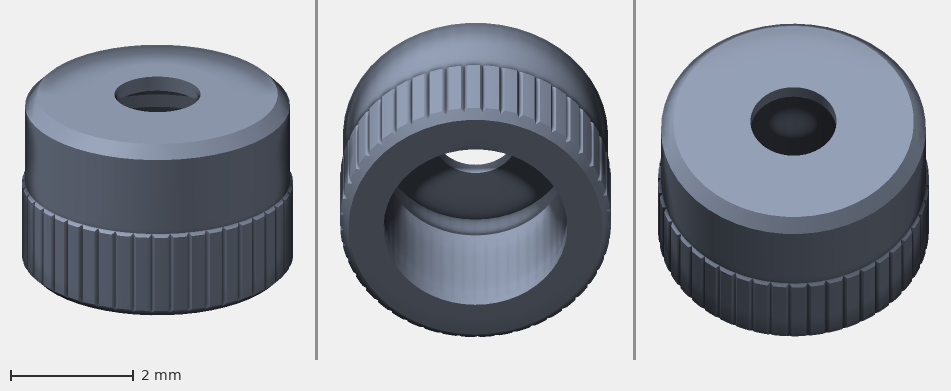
import cadquery as cq
import math

height = 3.02
body_radius = 2.16
body_chamfer = 0.2

grip_radius = 2.21
grip_height = 1.5
grip_bottom_chamfer = 0.14
groove_count = 45
groove_depth = grip_radius - body_radius
groove_angle = 90.0

hole_radius = 0.703
top_wall = 0.25
bore_top_depth = 0.9
bore_radius = 1.5
chamber_undercut = 0.1
chamber_radius = bore_radius + chamber_undercut
cone_slope = 60.0


def revolve_about_z(profile):
    """Full turn about Z of a closed outline given as (radius, height) points."""
    return cq.Workplane("XZ").polyline(profile).close().revolve(360, (0, 0, 0), (0, 1, 0))


def make_outside():
    """Revolved outer shape with the grip chamfered down to the body above it."""
    profile = [
        (0, 0),
        (grip_radius - grip_bottom_chamfer, 0),
        (grip_radius, grip_bottom_chamfer),
        (grip_radius, grip_height - groove_depth),
        (body_radius, grip_height),
        (body_radius, height - body_chamfer),
        (body_radius - body_chamfer, height),
        (0, height),
    ]
    return revolve_about_z(profile)


def make_grooves():
    """Ring of straight V grooves whose roots lie on the body radius, the first on +Y."""
    clearance = 0.045
    outer_y = grip_radius + clearance
    half_width = (groove_depth + clearance) * math.tan(math.radians(groove_angle / 2))
    groove = (
        cq.Workplane("XY")
        .polyline([(0, body_radius), (half_width, outer_y), (-half_width, outer_y)])
        .close()
        .extrude(grip_height)
    )
    pitch = 360 / groove_count
    grooves = cq.Workplane("XY")
    for index in range(groove_count):
        grooves.add(groove.rotate((0, 0, 0), (0, 0, 1), index * pitch))
    return grooves.combine()


def make_interior():
    """Through cavity: bore, cone widening into the chamber, then the top hole."""
    cone_bottom = height - bore_top_depth
    cone_rise = chamber_undercut * math.tan(math.radians(cone_slope))
    cone_top = cone_bottom + cone_rise
    chamber_top = height - top_wall
    profile = [
        (0, 0),
        (bore_radius, 0),
        (bore_radius, cone_bottom),
        (chamber_radius, cone_top),
        (chamber_radius, chamber_top),
        (hole_radius, chamber_top),
        (hole_radius, height),
        (0, height),
    ]
    return revolve_about_z(profile)


result = make_outside().cut(make_grooves()).cut(make_interior())